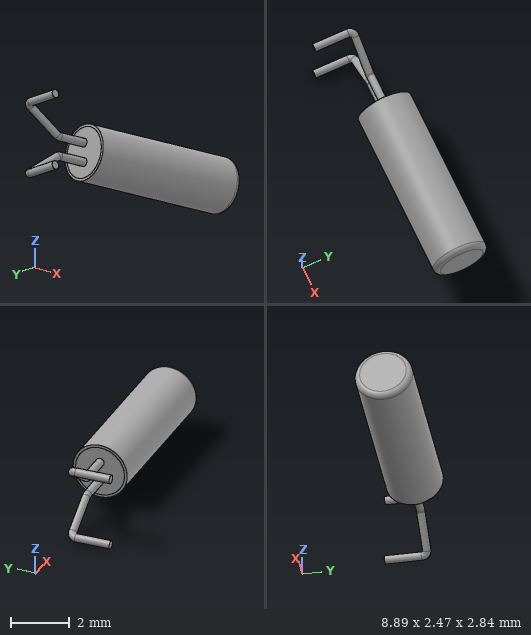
import cadquery as cq
import math

total_length = 8.89
total_depth = 2.47
total_height = 2.84

can_diameter = 2.0
can_length = 6.205
can_wall = 0.1
can_edge_radius = 0.2
core_diameter = can_diameter - 2 * can_wall
core_length = can_length - can_wall

lead_diameter = 0.3
lead_offset = 0.35
splay_start = -1.16
bend_radius = 0.2
foot_x = can_length - total_length + lead_diameter / 2
foot_z = (total_height - lead_diameter) / 2
foot_end_y = can_diameter / 2 - total_depth


def make_can():
    """Round can, closed and rounded at +X, with a bore for the core."""
    shell = cq.Workplane("YZ").circle(can_diameter / 2).extrude(can_length)
    shell = shell.faces(">X").edges().fillet(can_edge_radius)
    bore = cq.Workplane("YZ").circle(core_diameter / 2).extrude(core_length)
    return shell.cut(bore)


def make_core():
    """Cylinder that fills the bore, flush with the open face of the can."""
    return cq.Workplane("YZ").circle(core_diameter / 2).extrude(core_length)


def bend_points(before, corner, after):
    """Start, middle and end of the arc that rounds the corner of a centre line."""
    toward_before = (before - corner).normalized()
    toward_after = (after - corner).normalized()
    half_angle = toward_before.getAngle(toward_after) / 2
    tangent_length = bend_radius / math.tan(half_angle)
    middle_distance = bend_radius / math.sin(half_angle) - bend_radius
    bisector = (toward_before + toward_after).normalized()
    start = corner + toward_before * tangent_length
    middle = corner + bisector * middle_distance
    end = corner + toward_after * tangent_length
    return start, middle, end


def make_lead(side):
    """Bent round wire above (side = 1) or below (side = -1) the can axis."""
    root = cq.Vector(0, 0, side * lead_offset)
    splay_corner = cq.Vector(splay_start, 0, side * lead_offset)
    foot_corner = cq.Vector(foot_x, 0, side * foot_z)
    tip = cq.Vector(foot_x, foot_end_y, side * foot_z)

    splay_in, splay_middle, splay_out = bend_points(root, splay_corner, foot_corner)
    foot_in, foot_middle, foot_out = bend_points(splay_corner, foot_corner, tip)
    center_line = cq.Wire.assembleEdges([
        cq.Edge.makeLine(root, splay_in),
        cq.Edge.makeThreePointArc(splay_in, splay_middle, splay_out),
        cq.Edge.makeLine(splay_out, foot_in),
        cq.Edge.makeThreePointArc(foot_in, foot_middle, foot_out),
        cq.Edge.makeLine(foot_out, tip),
    ])
    section = cq.Workplane("YZ", origin=root.toTuple()).circle(lead_diameter / 2)
    return section.sweep(cq.Workplane(center_line))


can = make_can()
core = make_core()
leads = [make_lead(side) for side in (1, -1)]

result = cq.Compound.makeCompound([can.val(), core.val(), *[lead.val() for lead in leads]])